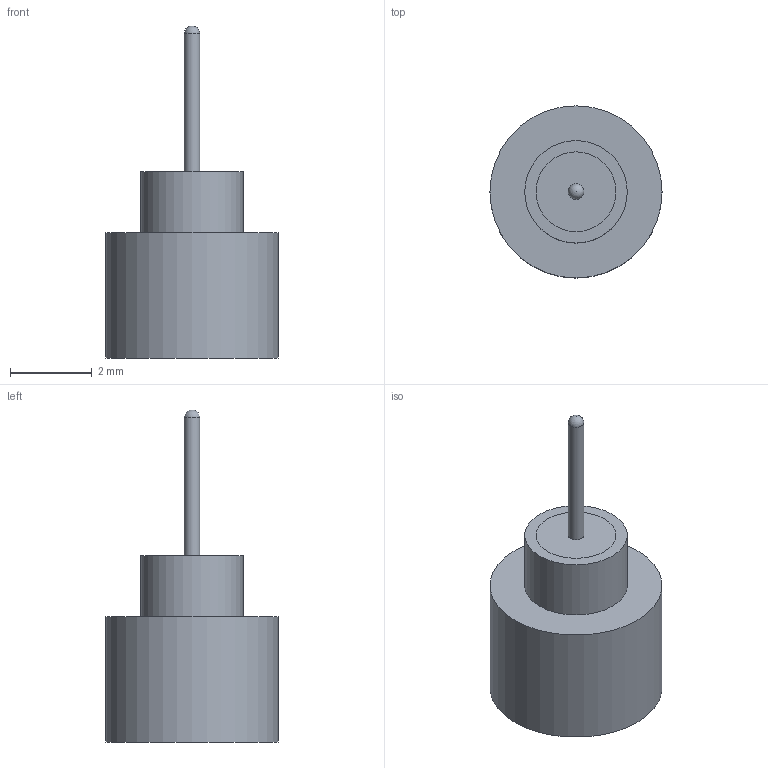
import cadquery as cq

total_height = 8.1
base_diameter = 4.2
base_height = 3.05
collar_diameter = 2.5
collar_height = 1.5
insulator_diameter = 1.95
pin_diameter = 0.38

collar_top = base_height + collar_height
pin_radius = pin_diameter / 2
pin_shank_length = total_height - collar_top - pin_radius


def cylinder(diameter, bottom, height):
    """Upright cylinder on the Z axis."""
    return cq.Workplane("XY").workplane(offset=bottom).circle(diameter / 2).extrude(height)


def make_shell():
    """Base and collar, with a bore through the collar for the insulator."""
    base = cylinder(base_diameter, 0, base_height)
    collar = cylinder(collar_diameter, base_height, collar_height)
    bore = cylinder(insulator_diameter, base_height, collar_height)
    return base.union(collar).cut(bore)


def make_insulator():
    """Plug that fills the collar bore, flush with the collar top."""
    return cylinder(insulator_diameter, base_height, collar_height)


def make_pin():
    """Contact pin standing on the insulator, with a hemispherical tip."""
    shank = cylinder(pin_diameter, collar_top, pin_shank_length)
    tip = cq.Workplane("XY").sphere(pin_radius).translate((0, 0, collar_top + pin_shank_length))
    return shank.union(tip)


result = make_shell().union(make_insulator(), clean=False).union(make_pin(), clean=False)